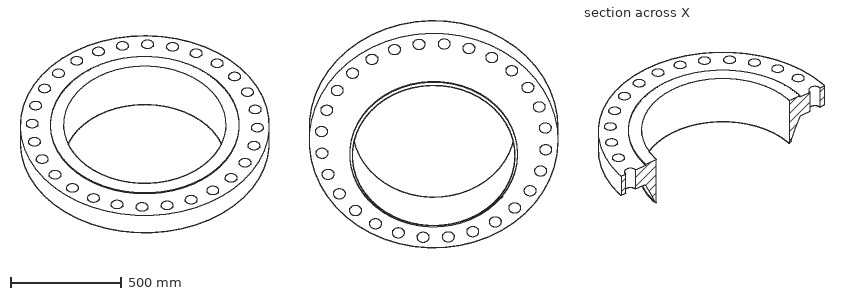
import cadquery as cq
import math


flange_diameter = 1130.3
total_height = 254.0
bore_diameter = 736.6

plate_thickness = 114.3
raised_face_diameter = 857.25
raised_face_height = 6.35

weld_end_diameter = 762.0
hub_base_diameter = 862.0
weld_land_top = 15.5
hub_fillet_radius = 14.3

root_face_width = 1.6
bevel_angle = 37.5

bolt_count = 28
bolt_circle_diameter = 1022.35
bolt_hole_diameter = 53.975

edge_search_margin = 1.0

plate_top = total_height - raised_face_height
plate_bottom = plate_top - plate_thickness
root_radius = bore_diameter / 2 + root_face_width
bevel_height = (weld_end_diameter / 2 - root_radius) * math.tan(math.radians(bevel_angle))


def make_body():
    """Revolve half of the cross-section, taken on the -X side, around Z."""
    profile = [
        (-bore_diameter / 2, 0),
        (-root_radius, 0),
        (-weld_end_diameter / 2, bevel_height),
        (-weld_end_diameter / 2, weld_land_top),
        (-hub_base_diameter / 2, plate_bottom),
        (-flange_diameter / 2, plate_bottom),
        (-flange_diameter / 2, plate_top),
        (-raised_face_diameter / 2, plate_top),
        (-raised_face_diameter / 2, total_height),
        (-bore_diameter / 2, total_height),
    ]
    section = cq.Workplane("XZ").polyline(profile).close()
    return section.revolve(360, (0, 0, 0), (0, 1, 0))


def fillet_hub_base(body):
    """Round the inside corner between the hub cone and the plate underside."""
    reach = hub_base_diameter / 2 + edge_search_margin
    edge_finder = cq.selectors.BoxSelector(
        (-reach, -reach, plate_bottom - edge_search_margin),
        (reach, reach, plate_bottom + edge_search_margin),
        boundingbox=True,
    )
    return body.edges(edge_finder).fillet(hub_fillet_radius)


def drill_bolt_holes(body):
    """Drill the bolt circle through the plate, with a hole on each axis."""
    holes = (
        cq.Workplane("XY", origin=(0, 0, plate_bottom))
        .polarArray(bolt_circle_diameter / 2, 0, 360, bolt_count)
        .circle(bolt_hole_diameter / 2)
        .extrude(plate_thickness)
    )
    return body.cut(holes)


result = drill_bolt_holes(fillet_hub_base(make_body()))